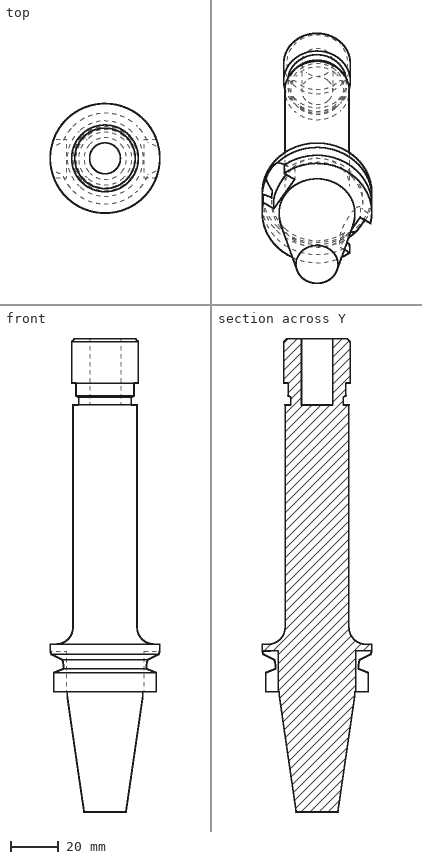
import cadquery as cq


gauge_diameter = 31.75
taper_length = 48.4
taper_ratio = 7 / 24
shank_end_diameter = gauge_diameter - taper_ratio * taper_length

flange_diameter = 46.0
flange_bottom_z = 2.0
flange_top_z = 22.0

groove_diameter = 38.2
groove_floor_bottom_z = 11.7
groove_floor_top_z = 15.4
groove_mouth_bottom_z = 10.0
groove_mouth_top_z = 17.7

body_diameter = 27.0
body_fillet_radius = 7.0

nose_z = 150.0
nut_diameter = 28.0
nut_length = 18.7
nut_chamfer = 1.3
collar_diameter = 24.5
collar_length = 5.9
collar_underside_rise = 0.6
neck_diameter = 22.2
neck_length = 3.2
bore_diameter = 13.0

nut_bottom_z = nose_z - nut_length
collar_bottom_z = nut_bottom_z - collar_length
body_top_z = collar_bottom_z - neck_length
bore_depth = nose_z - body_top_z

slot_width = 16.1
slot_top_z = 19.0
slot_floor_x = 16.3


def turned_body():
    """Revolve the half outline, from the shank end up to the nut."""
    flange_radius = flange_diameter / 2
    groove_radius = groove_diameter / 2
    body_radius = body_diameter / 2
    collar_radius = collar_diameter / 2
    neck_radius = neck_diameter / 2
    nut_radius = nut_diameter / 2
    outline = (
        cq.Workplane("XZ")
        .moveTo(0, -taper_length)
        .lineTo(shank_end_diameter / 2, -taper_length)
        .lineTo(gauge_diameter / 2, 0)
        .lineTo(gauge_diameter / 2, flange_bottom_z)
        .lineTo(flange_radius, flange_bottom_z)
        .lineTo(flange_radius, groove_mouth_bottom_z)
        .lineTo(groove_radius, groove_floor_bottom_z)
        .lineTo(groove_radius, groove_floor_top_z)
        .lineTo(flange_radius, groove_mouth_top_z)
        .lineTo(flange_radius, flange_top_z)
        .lineTo(body_radius + body_fillet_radius, flange_top_z)
        .radiusArc((body_radius, flange_top_z + body_fillet_radius), body_fillet_radius)
        .lineTo(body_radius, body_top_z)
        .lineTo(neck_radius, body_top_z)
        .lineTo(neck_radius, collar_bottom_z)
        .lineTo(collar_radius, collar_bottom_z + collar_underside_rise)
        .lineTo(collar_radius, nut_bottom_z)
        .lineTo(nut_radius, nut_bottom_z)
        .lineTo(nut_radius, nose_z - nut_chamfer)
        .lineTo(nut_radius - nut_chamfer, nose_z)
        .lineTo(0, nose_z)
        .close()
    )
    return outline.revolve(360, (0, 0), (0, 1))


def nose_bore():
    """Blind round bore in the nut face."""
    return (
        cq.Workplane("XY")
        .workplane(offset=nose_z - bore_depth)
        .circle(bore_diameter / 2)
        .extrude(bore_depth)
    )


def drive_slot(side):
    """Round-topped slot with a flat floor, on the +X (side=1) or -X (side=-1) side."""
    half_width = slot_width / 2
    arc_center_z = slot_top_z - half_width
    return (
        cq.Workplane("YZ")
        .workplane(offset=side * slot_floor_x)
        .moveTo(-half_width, flange_bottom_z)
        .lineTo(half_width, flange_bottom_z)
        .lineTo(half_width, arc_center_z)
        .threePointArc((0, slot_top_z), (-half_width, arc_center_z))
        .close()
        .extrude(side * (flange_diameter / 2))
    )


result = turned_body().cut(nose_bore())
for side in (-1, 1):
    result = result.cut(drive_slot(side))